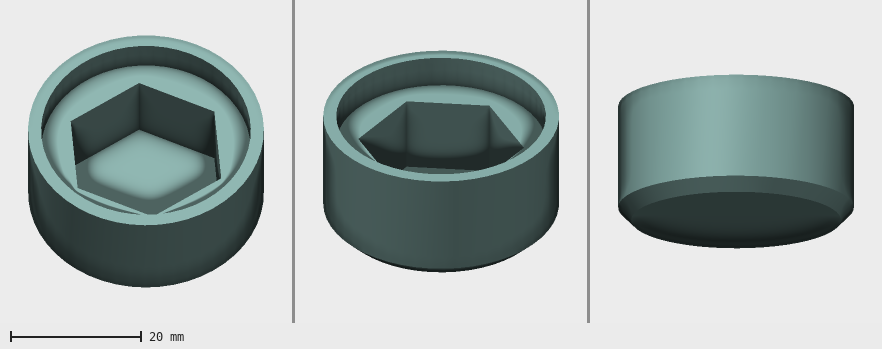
import cadquery as cq
import math

outer_diameter = 36.0
height = 18.0
recess_diameter = 32.0
recess_depth = 5.0
hex_across_flats = 22.0
floor_thickness = 1.0

wall_thickness = (outer_diameter - recess_diameter) / 2
bottom_chamfer = wall_thickness
hex_across_corners = hex_across_flats / math.cos(math.radians(30))
hex_depth = height - recess_depth - floor_thickness

body = cq.Workplane("XY").circle(outer_diameter / 2).extrude(height)
body = body.faces("<Z").edges().chamfer(bottom_chamfer)

recess = (
    cq.Workplane("XY")
    .workplane(offset=height - recess_depth)
    .circle(recess_diameter / 2)
    .extrude(recess_depth)
)

socket = (
    cq.Workplane("XY")
    .workplane(offset=floor_thickness)
    .transformed(rotate=(0, 0, 90))
    .polygon(6, hex_across_corners)
    .extrude(hex_depth)
)

result = body.cut(recess).cut(socket)